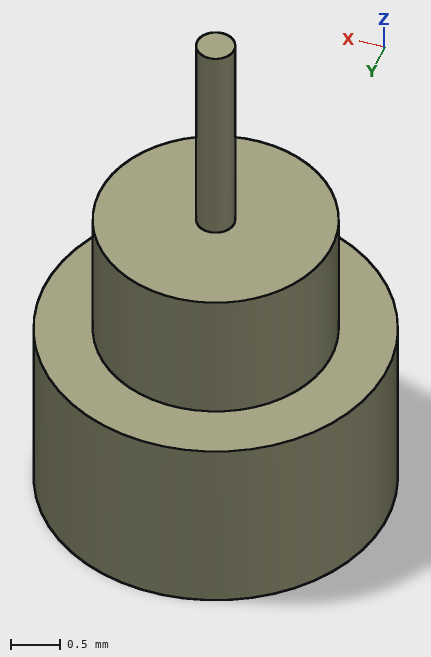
import cadquery as cq

total_height = 5.95
base_diameter = 3.7
base_height = 2.05
collar_diameter = 2.5
collar_height = 1.5
pin_diameter = 0.4
pin_height = total_height - base_height - collar_height


def stack_cylinder(body, diameter, height):
    """Add a concentric cylinder on the top face of the body."""
    return body.faces(">Z").workplane().circle(diameter / 2).extrude(height)


base = cq.Workplane("XY").circle(base_diameter / 2).extrude(base_height)
base_with_collar = stack_cylinder(base, collar_diameter, collar_height)
result = stack_cylinder(base_with_collar, pin_diameter, pin_height)